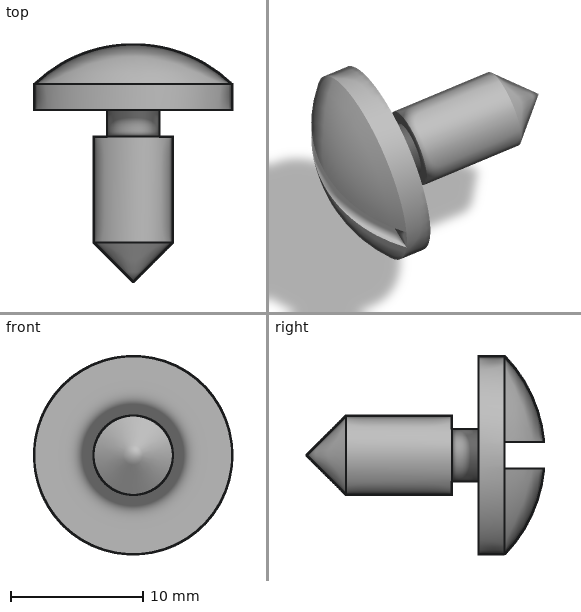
import cadquery as cq
import math

total_length = 17.98
head_diameter = 15.0
rim_thickness = 2.0
neck_diameter = 4.0
neck_length = 2.0
shank_diameter = 6.0
shank_length = 8.0
slot_width = 2.0

head_radius = head_diameter / 2
neck_radius = neck_diameter / 2
shank_radius = shank_diameter / 2
tip_length = shank_radius

rim_top = rim_thickness
neck_end = -neck_length
shank_end = neck_end - shank_length
tip_end = shank_end - tip_length

lip_height = total_length + tip_end - rim_top
lip_offset = slot_width / 2
center_drop = (head_radius**2 - lip_offset**2 - lip_height**2) / (2 * lip_height)
dome_radius = math.hypot(head_radius, center_drop)
dome_center = rim_top - center_drop
dome_top = dome_center + dome_radius

half_angle = math.asin(head_radius / dome_radius) / 2
dome_middle = (
    dome_radius * math.sin(half_angle),
    dome_center + dome_radius * math.cos(half_angle),
)


def make_body():
    """Revolve half the pin's section about the Y axis."""
    return (
        cq.Workplane("XY")
        .moveTo(0, tip_end)
        .lineTo(shank_radius, shank_end)
        .lineTo(shank_radius, neck_end)
        .lineTo(neck_radius, neck_end)
        .lineTo(neck_radius, 0)
        .lineTo(head_radius, 0)
        .lineTo(head_radius, rim_top)
        .threePointArc(dome_middle, (0, dome_top))
        .close()
        .revolve(360, (0, 0, 0), (0, 1, 0))
    )


def make_slot():
    """Screwdriver slot along X, from the crown down to the top of the rim."""
    slot_depth = dome_top - rim_top
    return (
        cq.Workplane("XY")
        .box(head_diameter, slot_depth, slot_width, centered=(True, False, True))
        .translate((0, rim_top, 0))
    )


result = make_body().cut(make_slot())